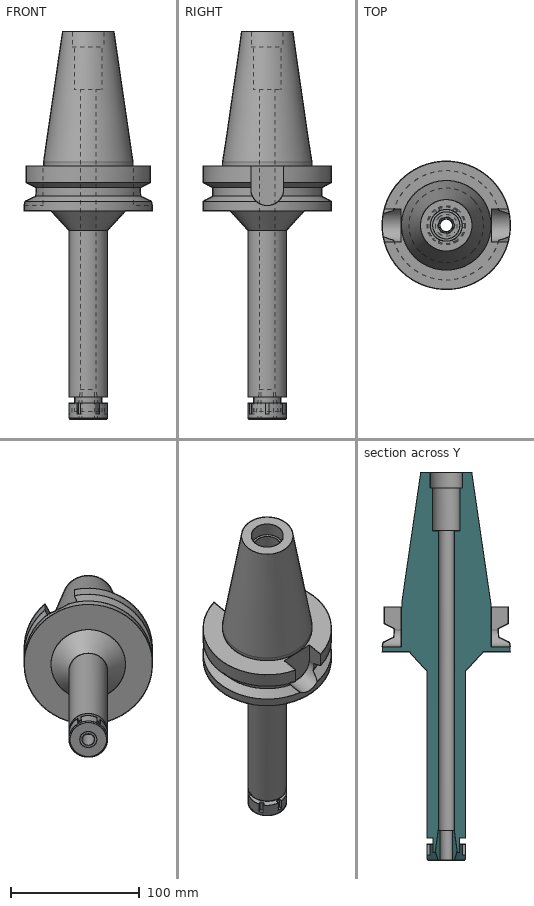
import cadquery as cq
import math


total_length = 301.8
taper_length = 101.7
nut_bottom = taper_length - total_length

taper_ratio = 7 / 24
gauge_radius = 69.7 / 2
taper_end_radius = gauge_radius - taper_length * taper_ratio / 2
flange_radius = 100.0 / 2
flange_top = -3.0
flange_bottom = -38.0

groove_centre = -23.2
groove_floor_radius = 42.5
groove_floor_width = 6.5
groove_mouth_width = 14.5

keyway_width = 25.7
keyway_floor = 35.0
keyway_bottom = -33.8

cone_top_radius = 29.0
shank_top = -53.0
shank_radius = 15.0
shank_bottom = nut_bottom + 17.2
neck_radius = 10.5

entry_bore_radius = 12.5
entry_bore_depth = 12.0
draw_bar_bore_radius = 10.5
draw_bar_bore_depth = 45.3
through_bore_radius = 6.0

collet_bore_radius = 4.8
collet_max_radius = 8.5
collet_front_radius = 6.5
collet_half_angle = math.radians(8)
collet_seat_length = (collet_max_radius - through_bore_radius) / math.tan(collet_half_angle)

nut_radius = 15.0
nut_height = 12.7
nut_chamfer = 1.0
nut_lip_height = 6.0
nut_top = nut_bottom + nut_height
spigot_bottom = nut_bottom + nut_lip_height

slot_count = 6
slot_width = 3.0
slot_depth = 2.5
slot_length = 8.5


def revolve_profile(points):
    """Turn a closed (radius, z) outline once around the Z axis."""
    return cq.Workplane("XZ").polyline(points).close().revolve(360, (0, 0, 0), (0, 1, 0))


def make_holder_blank():
    """Taper, grooved flange, cone, shank and the spigot that carries the nut."""
    half_floor = groove_floor_width / 2
    half_mouth = groove_mouth_width / 2
    return revolve_profile([
        (0, taper_length),
        (taper_end_radius, taper_length),
        (gauge_radius, 0),
        (gauge_radius, flange_top),
        (flange_radius, flange_top),
        (flange_radius, groove_centre + half_mouth),
        (groove_floor_radius, groove_centre + half_floor),
        (groove_floor_radius, groove_centre - half_floor),
        (flange_radius, groove_centre - half_mouth),
        (flange_radius, flange_bottom),
        (cone_top_radius, flange_bottom),
        (shank_radius, shank_top),
        (shank_radius, shank_bottom),
        (neck_radius, shank_bottom),
        (neck_radius, spigot_bottom),
        (0, spigot_bottom),
    ])


def make_holder_bore():
    """Stepped bore from the taper end, widening into the collet seat at the spigot."""
    entry_floor = taper_length - entry_bore_depth
    draw_bar_floor = taper_length - draw_bar_bore_depth
    return revolve_profile([
        (0, taper_length),
        (entry_bore_radius, taper_length),
        (entry_bore_radius, entry_floor),
        (draw_bar_bore_radius, entry_floor),
        (draw_bar_bore_radius, draw_bar_floor),
        (through_bore_radius, draw_bar_floor),
        (through_bore_radius, spigot_bottom + collet_seat_length),
        (collet_max_radius, spigot_bottom),
        (0, spigot_bottom),
    ])


def make_keyway(side):
    """Round-bottomed slot on one X side (side is +1 or -1), open at the flange top."""
    round_radius = keyway_width / 2
    round_centre = keyway_bottom + round_radius
    return (
        cq.Workplane("YZ", origin=(side * keyway_floor, 0, 0))
        .moveTo(-round_radius, flange_top)
        .lineTo(-round_radius, round_centre)
        .threePointArc((0, keyway_bottom), (round_radius, round_centre))
        .lineTo(round_radius, flange_top)
        .close()
        .extrude(side * flange_radius)
    )


def make_holder():
    holder = make_holder_blank().cut(make_holder_bore())
    for side in (-1, 1):
        holder = holder.cut(make_keyway(side))
    return holder


def make_collet():
    """Double-cone sleeve, seated in the spigot above and in the nut lip below."""
    seat_top = spigot_bottom + collet_seat_length
    return revolve_profile([
        (collet_bore_radius, seat_top),
        (through_bore_radius, seat_top),
        (collet_max_radius, spigot_bottom),
        (collet_front_radius, nut_bottom),
        (collet_bore_radius, nut_bottom),
    ])


def make_nut():
    """Cup around the spigot, with a conical lip that holds the collet."""
    nut = revolve_profile([
        (neck_radius, nut_top),
        (nut_radius, nut_top),
        (nut_radius, nut_bottom + nut_chamfer),
        (nut_radius - nut_chamfer, nut_bottom),
        (collet_front_radius, nut_bottom),
        (collet_max_radius, spigot_bottom),
        (neck_radius, spigot_bottom),
    ])
    slot_centre = (nut_radius, 0, nut_top - slot_length / 2)
    slot = cq.Workplane("XY").box(2 * slot_depth, slot_width, slot_length).translate(slot_centre)
    for index in range(slot_count):
        nut = nut.cut(slot.rotate((0, 0, 0), (0, 0, 1), index * 360 / slot_count))
    return nut


holder = make_holder()
collet = make_collet()
nut = make_nut()

result = cq.Compound.makeCompound([holder.val(), collet.val(), nut.val()])